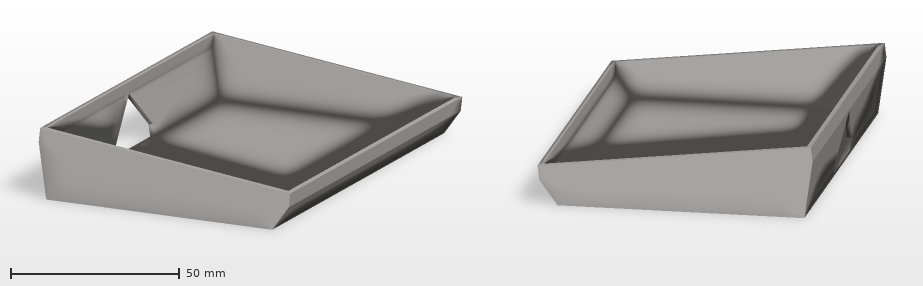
import math

import cadquery as cq

LENGTH = 83.19
WIDTH = 116.5
HEIGHT = 21.9

RIM_TILT = 6.86
LEFT_KINK = 15.0
RIGHT_KINK = 29.0
LEFT_BEND_HEIGHT = 17.5
RIGHT_BEND_HEIGHT = 7.6
RIGHT_CAVITY_BEND_HEIGHT = 8.2

FLOOR = 1.5
END_WALL = 1.5
SIDE_WALL = 1.75

WINDOW_WIDTH = 25.0
WINDOW_CUT_DEPTH = 2 * END_WALL

band_slope = math.tan(math.radians(RIM_TILT))
left_angle = math.radians(LEFT_KINK - RIM_TILT)
left_slope = math.tan(left_angle)
right_slope = math.tan(math.radians(RIGHT_KINK + RIM_TILT))

left_rim_x = band_slope * (HEIGHT - LEFT_BEND_HEIGHT)
right_rim_z = HEIGHT - band_slope * (LENGTH - left_rim_x)

band_wall = END_WALL / math.cos(math.radians(RIM_TILT))
left_lower_wall = END_WALL / math.cos(left_angle)


def left_band_x(z):
    return band_slope * (z - LEFT_BEND_HEIGHT)


def left_lower_x(z):
    return left_slope * (LEFT_BEND_HEIGHT - z)


def right_band_x(z):
    return LENGTH - band_slope * (right_rim_z - z)


def extrude_profile(points, width):
    """Closed X-Z outline extruded along Y, centred on Y = 0."""
    return cq.Workplane("XZ").polyline(points).close().extrude(width / 2, both=True)


def make_body():
    right_bend_x = right_band_x(RIGHT_BEND_HEIGHT)
    outline = [
        (left_lower_x(0), 0),
        (right_bend_x - right_slope * RIGHT_BEND_HEIGHT, 0),
        (right_bend_x, RIGHT_BEND_HEIGHT),
        (LENGTH, right_rim_z),
        (left_rim_x, HEIGHT),
        (0, LEFT_BEND_HEIGHT),
    ]
    return extrude_profile(outline, WIDTH)


def make_cavity():
    """Space inside the walls, open at the top."""
    right_bend_x = right_band_x(RIGHT_CAVITY_BEND_HEIGHT) - band_wall
    right_floor_x = right_bend_x - right_slope * (RIGHT_CAVITY_BEND_HEIGHT - FLOOR)
    bend_rise = (left_lower_wall - band_wall) / (left_slope + band_slope)
    left_bend_z = LEFT_BEND_HEIGHT + bend_rise
    outline = [
        (left_lower_x(FLOOR) + left_lower_wall, FLOOR),
        (right_floor_x, FLOOR),
        (right_bend_x, RIGHT_CAVITY_BEND_HEIGHT),
        (right_band_x(HEIGHT) - band_wall, HEIGHT),
        (left_band_x(HEIGHT) + band_wall, HEIGHT),
        (left_band_x(left_bend_z) + band_wall, left_bend_z),
    ]
    return extrude_profile(outline, WIDTH - 2 * SIDE_WALL)


def make_window():
    """Pointed opening with its apex on the bend and its sill meeting the cavity floor."""
    wall_plane = cq.Plane(
        origin=(0, 0, LEFT_BEND_HEIGHT),
        xDir=(0, 1, 0),
        normal=(math.cos(left_angle), 0, math.sin(left_angle)),
    )
    half = WINDOW_WIDTH / 2
    eaves = -half
    sill_height = FLOOR - END_WALL * math.sin(left_angle)
    sill = -(LEFT_BEND_HEIGHT - sill_height) / math.cos(left_angle)
    outline = [(-half, sill), (half, sill), (half, eaves), (0, 0), (-half, eaves)]
    return cq.Workplane(wall_plane).polyline(outline).close().extrude(WINDOW_CUT_DEPTH)


result = make_body().cut(make_cavity()).cut(make_window())